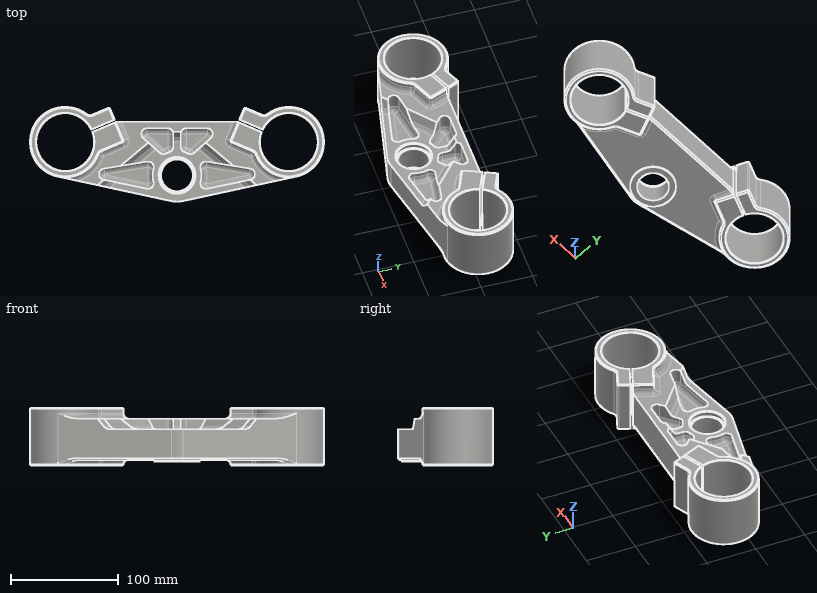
import cadquery as cq
import math

height = 54.0
clamp_x = 103.7
clamp_y = 30.8
ring_radius = 32.8
bore_radius = 26.8
bore_chamfer = 0.5
lug_angle = 23.0
lug_reach = 50.5
lug_rear_edge = 13.6
lug_front_edge = -21.0
lug_corner_radius = 1.6
lug_root_radius = 5.5
split_width = 2.5
split_reach = 60.0
rim_chamfer = 1.0
bottom_chamfer = 1.6

plate_bottom = 5.5
plate_top = 44.0
plate_rear_y = 50.0
nose_radius = 24.5
top_step_fillet = 5.0
bottom_step_fillet = 4.5
plate_edge_chamfer = 1.6
cut_margin = 2.7
cutter_side = 436.8
clamp_zone = 163.8

recess_floor = 34.0
recess_distance = 40.5
recess_angle = 40.0
recess_wall_taper = 33.0
recess_fillet = 5.0
recess_half_width = 122.8

stem_radius = 14.7
counterbore_radius = 16.5
counterbore_depth = 5.7
counterbore_chamfer = 0.8
pad_radius = 21.3
pad_bottom = 4.0

pocket_floor = 24.8
pocket_margin = 5.2
pocket_fillet = 5.0
pocket_arc_radius = 27.8
rear_pocket_rear_y = 38.5
rear_pocket_outer_x = 27.8
rear_pocket_inner_x = 8.7
rear_pocket_corner_x = 12.5
side_pocket_tip_x = 67.2
side_pocket_tip_y = 1.0
side_pocket_rear_y = 7.6
side_pocket_front_y = -7.5


def both_sides(shape):
    return shape.union(shape.mirror("YZ"))


def cylinder(radius, bottom, top):
    return cq.Workplane("XY").workplane(offset=bottom).circle(radius).extrude(top - bottom)


def on_circle(radius, coordinate):
    return math.sqrt(radius**2 - coordinate**2)


def place_at_clamp(shape):
    """Turn a shape built around the bore axis, lug along +X, into its place on the left side."""
    return shape.rotate((0, 0, 0), (0, 0, 1), lug_angle).translate((-clamp_x, clamp_y, 0))


def clamp_block():
    lug_width = lug_rear_edge - lug_front_edge
    lug = (
        cq.Workplane("XY")
        .box(lug_reach, lug_width, height, centered=False)
        .translate((0, lug_front_edge, 0))
        .edges("|Z and >X")
        .fillet(lug_corner_radius)
    )
    block = cylinder(ring_radius, 0, height).union(lug)
    for edge_y in (lug_front_edge, lug_rear_edge):
        root = (on_circle(ring_radius, edge_y), edge_y, height / 2)
        block = block.edges(cq.selectors.NearestToPointSelector(root)).fillet(lug_root_radius)
    return both_sides(place_at_clamp(block))


def plate_blank():
    span = math.hypot(clamp_x, clamp_y)
    tilt = math.atan2(clamp_y, clamp_x) - math.asin((ring_radius - nose_radius) / span)
    tilt_x = math.sin(tilt)
    tilt_y = math.cos(tilt)
    rear_x = clamp_x - (plate_rear_y - clamp_y) / math.tan(math.radians(lug_angle))
    return (
        cq.Workplane("XY")
        .moveTo(-rear_x, plate_rear_y)
        .lineTo(-clamp_x, clamp_y)
        .lineTo(-clamp_x - ring_radius * tilt_x, clamp_y - ring_radius * tilt_y)
        .lineTo(-nose_radius * tilt_x, -nose_radius * tilt_y)
        .threePointArc((0, -nose_radius), (nose_radius * tilt_x, -nose_radius * tilt_y))
        .lineTo(clamp_x + ring_radius * tilt_x, clamp_y - ring_radius * tilt_y)
        .lineTo(clamp_x, clamp_y)
        .lineTo(rear_x, plate_rear_y)
        .close()
        .extrude(height - rim_chamfer - bottom_chamfer)
        .translate((0, 0, bottom_chamfer))
    )


def step_cutter(clamps, bottom, top, flat_face, fillet):
    """Everything around the clamps between two heights, rounded where it meets the plate."""
    block = cq.Workplane("XY").workplane(offset=bottom)
    block = block.rect(cutter_side, cutter_side).extrude(top - bottom)
    around_clamps = cq.selectors.BoxSelector(
        (-clamp_zone, -clamp_zone, bottom - cut_margin),
        (clamp_zone, clamp_zone, top + cut_margin),
        boundingbox=True,
    )
    return block.cut(clamps).faces(flat_face).edges(around_clamps).fillet(fillet)


def recess_cutter():
    angle = math.radians(recess_angle)
    corner_x = recess_distance * (1 - math.cos(angle)) / math.sin(angle)
    front_y = recess_distance - (recess_half_width - corner_x) * math.tan(angle)
    outline = [
        (-corner_x, recess_distance),
        (-recess_half_width, front_y),
        (recess_half_width, front_y),
        (corner_x, recess_distance),
    ]
    return (
        cq.Workplane("XY")
        .workplane(offset=plate_top)
        .polyline(outline)
        .close()
        .extrude(recess_floor - plate_top, taper=recess_wall_taper)
        .faces("<Z")
        .edges()
        .fillet(recess_fillet)
    )


def pocket_cutter(floor_outline):
    return both_sides(
        floor_outline.close()
        .offset2D(pocket_margin)
        .extrude(height - pocket_floor)
        .faces("<Z")
        .edges()
        .fillet(pocket_fillet)
    )


def rear_pockets():
    middle_x = (rear_pocket_inner_x + rear_pocket_corner_x) / 2
    return pocket_cutter(
        cq.Workplane("XY")
        .workplane(offset=pocket_floor)
        .moveTo(-rear_pocket_outer_x, rear_pocket_rear_y)
        .lineTo(-rear_pocket_inner_x, rear_pocket_rear_y)
        .lineTo(-rear_pocket_inner_x, on_circle(pocket_arc_radius, rear_pocket_inner_x))
        .threePointArc(
            (-middle_x, on_circle(pocket_arc_radius, middle_x)),
            (-rear_pocket_corner_x, on_circle(pocket_arc_radius, rear_pocket_corner_x)),
        )
    )


def side_pockets():
    return pocket_cutter(
        cq.Workplane("XY")
        .workplane(offset=pocket_floor)
        .moveTo(-side_pocket_tip_x, side_pocket_tip_y)
        .lineTo(-on_circle(pocket_arc_radius, side_pocket_rear_y), side_pocket_rear_y)
        .threePointArc(
            (-pocket_arc_radius, 0),
            (-on_circle(pocket_arc_radius, side_pocket_front_y), side_pocket_front_y),
        )
    )


def clamp_openings():
    bore = cylinder(bore_radius, 0, height)
    for end, inward in ((0, 1), (height, -1)):
        mouth = cq.Solid.makeCone(
            bore_radius + bore_chamfer, bore_radius, bore_chamfer, (0, 0, end), (0, 0, inward)
        )
        bore = bore.union(cq.Workplane(mouth))
    split = cq.Workplane("XY").box(split_reach, split_width, height, centered=(False, True, False))
    return both_sides(place_at_clamp(bore.union(split)))


def stem_hole():
    counterbore = cylinder(counterbore_radius, recess_floor - counterbore_depth, recess_floor)
    mouth = cq.Solid.makeCone(
        counterbore_radius + counterbore_chamfer,
        counterbore_radius,
        counterbore_chamfer,
        (0, 0, recess_floor),
        (0, 0, -1),
    )
    return cylinder(stem_radius, 0, height).union(counterbore).union(cq.Workplane(mouth))


clamps = clamp_block()
plate = plate_blank()
plate = plate.cut(step_cutter(clamps, plate_top, height + cut_margin, "<Z", top_step_fillet))
plate = plate.cut(step_cutter(clamps, -cut_margin, plate_bottom, ">Z", bottom_step_fillet))
for edge_y in (-nose_radius, plate_rear_y):
    edge_middle = (0, edge_y, plate_bottom)
    plate = plate.edges(cq.selectors.NearestToPointSelector(edge_middle)).chamfer(plate_edge_chamfer)
clamps = clamps.faces(">Z").edges().chamfer(rim_chamfer)
clamps = clamps.faces("<Z").edges().chamfer(bottom_chamfer)
body = plate.union(clamps)
body = body.union(cylinder(pad_radius, pad_bottom, plate_bottom))

result = body
for cutter in (recess_cutter(), rear_pockets(), side_pockets(), clamp_openings(), stem_hole()):
    result = result.cut(cutter)